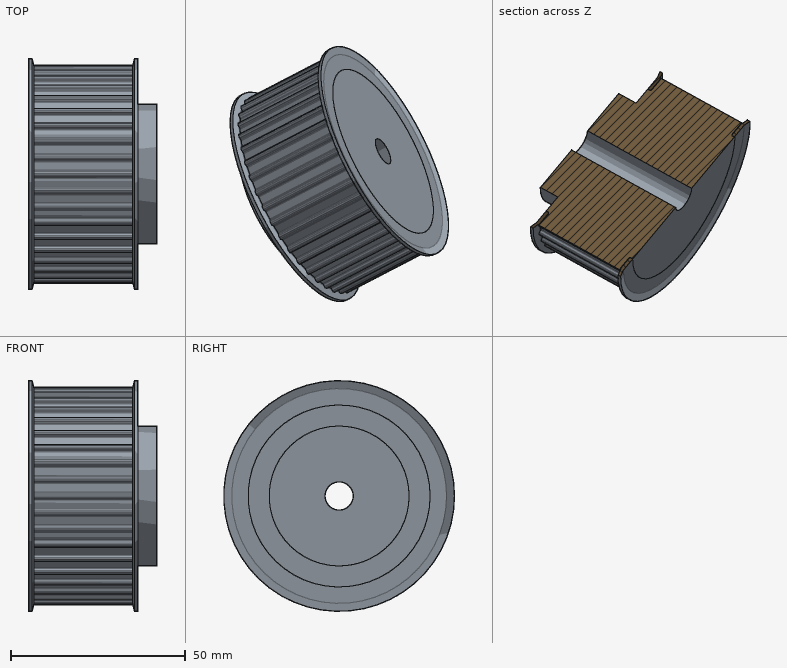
import cadquery as cq
import math

total_length = 36.6
flange_diameter = 66.0
hub_diameter = 40.0
bore_diameter = 8.0
seat_diameter = 52.0

flange_span = 31.2
sheet_thickness = 1.0
dish_depth = 0.6
dish_inner_diameter = 61.4

tooth_count = 40
tip_diameter = 62.45
tooth_height = 1.05
tooth_tip_width = 1.2
flank_angle = 22.5
tip_fillet = 0.5
root_fillet = 0.25

tip_radius = tip_diameter / 2
root_radius = tip_radius - tooth_height
left_face = dish_depth
right_face = flange_span - dish_depth
teeth_start = left_face + sheet_thickness
teeth_length = flange_span - 2 * teeth_start


def disc(start, length, diameter):
    """Cylinder on the X axis from `start`."""
    return cq.Workplane("YZ", origin=(start, 0, 0)).circle(diameter / 2).extrude(length)


def half_tooth_points():
    """(radial, sideways) corners of half a tooth: tip flat end, flank top, flank foot, root end."""
    angle = math.radians(flank_angle)
    sine, cosine = math.sin(angle), math.cos(angle)
    half_tip = tooth_tip_width / 2

    tip_trim = tip_fillet * math.tan((math.pi / 2 - angle) / 2)
    tip_flat_end = (tip_radius, half_tip - tip_trim)
    flank_top = (tip_radius - tip_trim * cosine, half_tip + tip_trim * sine)

    off_flank = tip_radius * sine + half_tip * cosine + root_fillet
    along_flank = math.sqrt((root_radius + root_fillet) ** 2 - off_flank**2)
    centre_radial = off_flank * sine + along_flank * cosine
    centre_side = off_flank * cosine - along_flank * sine
    flank_foot = (centre_radial - root_fillet * sine, centre_side - root_fillet * cosine)
    root_share = root_radius / (root_radius + root_fillet)
    root_end = (centre_radial * root_share, centre_side * root_share)
    return tip_flat_end, flank_top, flank_foot, root_end


def turned(point, angle, mirrored=False):
    """A half-tooth point, on either side of the tooth, turned about the axis by `angle` radians."""
    radial, sideways = point
    if mirrored:
        sideways = -sideways
    return (
        radial * math.cos(angle) - sideways * math.sin(angle),
        radial * math.sin(angle) + sideways * math.cos(angle),
    )


def make_toothed_rim():
    """Trapezoidal teeth with rounded tips and roots, evenly spaced around the root circle."""
    tip_flat_end, flank_top, flank_foot, root_end = half_tooth_points()
    pitch_angle = 2 * math.pi / tooth_count
    tip_start = turned(tip_flat_end, 0, mirrored=True)
    outline = cq.Workplane("YZ", origin=(teeth_start, 0, 0)).moveTo(*tip_start)
    for index in range(tooth_count):
        angle = index * pitch_angle
        next_angle = angle + pitch_angle
        next_tip_start = turned(tip_flat_end, next_angle, mirrored=True)
        outline = (
            outline
            .lineTo(*turned(tip_flat_end, angle))
            .tangentArcPoint(turned(flank_top, angle), relative=False)
            .lineTo(*turned(flank_foot, angle))
            .tangentArcPoint(turned(root_end, angle), relative=False)
            .tangentArcPoint(turned(root_end, next_angle, mirrored=True), relative=False)
            .tangentArcPoint(turned(flank_foot, next_angle, mirrored=True), relative=False)
            .lineTo(*turned(flank_top, next_angle, mirrored=True))
            .tangentArcPoint(next_tip_start, relative=False)
        )
    return outline.close().extrude(teeth_length)


def make_pulley():
    """Toothed rim with a flange seat at each end, a hub and a through bore."""
    pulley = make_toothed_rim()
    pulley = pulley.union(disc(left_face, right_face - left_face, seat_diameter))
    pulley = pulley.union(disc(right_face, total_length - right_face, hub_diameter))
    return pulley.cut(disc(0, total_length, bore_diameter))


def make_left_flange():
    """Ring whose inner part is flat and whose rim flares away from the teeth."""
    inner = seat_diameter / 2
    bend = dish_inner_diameter / 2
    outer = flange_diameter / 2
    return (
        cq.Workplane("XY")
        .polyline([
            (dish_depth, inner),
            (dish_depth, bend),
            (0, outer),
            (sheet_thickness, outer),
            (teeth_start, bend),
            (teeth_start, inner),
        ])
        .close()
        .revolve(360, (0, 0, 0), (1, 0, 0))
    )


pulley = make_pulley()
left_flange = make_left_flange()
right_flange = left_flange.mirror("YZ").translate((flange_span, 0, 0))
result = cq.Compound.makeCompound([pulley.val(), left_flange.val(), right_flange.val()])